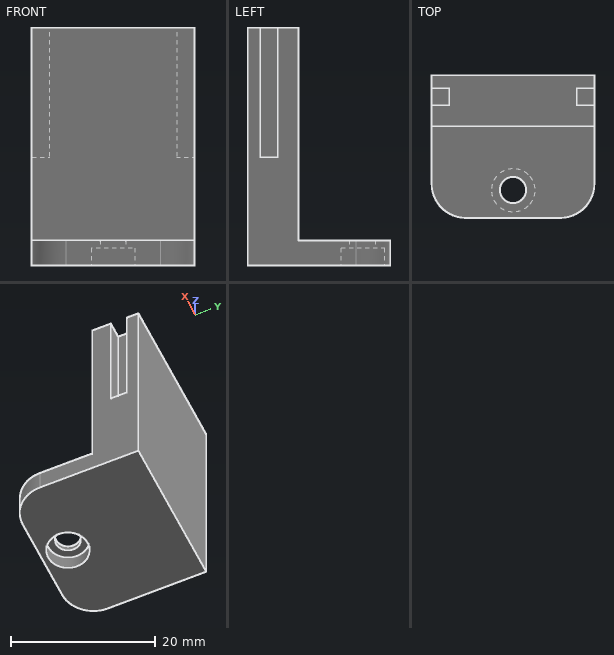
import cadquery as cq

width = 22.6
depth = 19.8
height = 33.0

wall_thickness = 7.05
base_thickness = 3.5
corner_radius = 4.8

hole_diameter = 3.6
hole_from_front = 3.9
counterbore_diameter = 6.0
counterbore_roof = 1.0

groove_depth = 2.45
groove_width = 2.4
groove_length = 18.0
groove_from_back = 1.78


def make_base():
    """Foot plate with rounded front corners, front edge at Y = 0."""
    return (
        cq.Workplane("XY")
        .box(width, depth, base_thickness, centered=(True, False, False))
        .edges("|Z and <Y")
        .fillet(corner_radius)
    )


def make_wall():
    """Upright wall along the back edge of the base."""
    return (
        cq.Workplane("XY")
        .box(width, wall_thickness, height, centered=(True, False, False))
        .translate((0, depth - wall_thickness, 0))
    )


def make_groove(side):
    """Cutter for one groove; side is -1 for the -X face and +1 for +X."""
    center_x = side * (width - groove_depth) / 2
    center_y = depth - groove_from_back - groove_width / 2
    return (
        cq.Workplane("XY")
        .box(groove_depth, groove_width, groove_length, centered=(True, True, False))
        .translate((center_x, center_y, height - groove_length))
    )


def make_hole():
    """Cutter for the mounting hole and its counterbore, centred across the width."""
    center = cq.Workplane("XY").center(0, hole_from_front)
    hole = center.circle(hole_diameter / 2).extrude(base_thickness)
    counterbore = center.circle(counterbore_diameter / 2).extrude(base_thickness - counterbore_roof)
    return hole.union(counterbore)


result = make_base().union(make_wall()).cut(make_hole())
for side in (-1, 1):
    result = result.cut(make_groove(side))